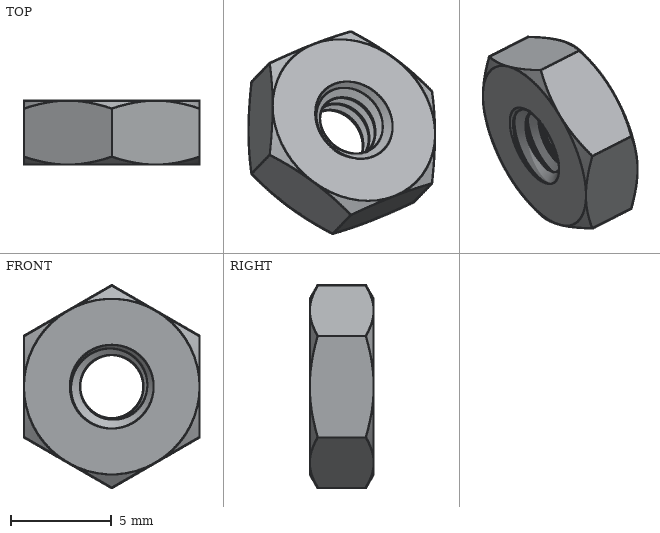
import cadquery as cq
import math

INCH = 25.4
across_flats = 11 / 32 * INCH
thickness = INCH / 8
corner_chamfer_angle = math.radians(30)

side_count = 6
corner_step = 2 * math.pi / side_count
corner_radius = across_flats / (2 * math.cos(corner_step / 2))

major_diameter = 0.164 * INCH
major_radius = major_diameter / 2
pitch = INCH / 32
flank_angle = math.radians(30)
sharp_thread_height = pitch / (2 * math.tan(flank_angle))
thread_depth = 3 / 4 * sharp_thread_height
minor_radius = major_radius - thread_depth
root_width = pitch / 8

lead_in_turns = 0.5
run_out_turns = 1
groove_overlap = 0.05
cutter_margin = 0.3


def turned_solid(profile):
    """Revolve (y, radius) points about the Y axis."""
    return cq.Workplane("YZ").polyline(profile).close().revolve(360, (0, 0, 0), (1, 0, 0))


def hex_prism():
    """Hexagonal prism with two corners on the Z axis."""
    corners = [
        (corner_radius * math.sin(i * corner_step), corner_radius * math.cos(i * corner_step))
        for i in range(side_count)
    ]
    return cq.Workplane("XZ").polyline(corners).close().extrude(-thickness)


def chamfer_envelope():
    """Turned blank whose conical ends chamfer the hexagon corners."""
    face_radius = across_flats / 2
    outer_radius = corner_radius + cutter_margin
    cone_depth = (outer_radius - face_radius) * math.tan(corner_chamfer_angle)
    return turned_solid([
        (0, 0),
        (0, face_radius),
        (cone_depth, outer_radius),
        (thickness - cone_depth, outer_radius),
        (thickness, face_radius),
        (thickness, 0),
    ])


def bore():
    """Through bore at the minor diameter."""
    length = thickness + 2 * cutter_margin
    return cq.Workplane("XZ", origin=(0, -cutter_margin, 0)).circle(minor_radius).extrude(-length)


def thread_groove():
    """Right-hand helical groove whose rear root edge meets the front face at the lowest point."""
    lead_in = lead_in_turns * pitch
    helix_length = lead_in + thickness + run_out_turns * pitch
    inner_radius = minor_radius - groove_overlap
    root_half = root_width / 2
    mouth_half = root_half + (major_radius - inner_radius) * math.tan(flank_angle)
    profile = [
        (inner_radius, -mouth_half),
        (major_radius, -root_half),
        (major_radius, root_half),
        (inner_radius, mouth_half),
    ]
    helix = cq.Workplane(cq.Wire.makeHelix(pitch, helix_length, major_radius))
    groove = cq.Workplane("XZ").polyline(profile).close().sweep(helix, isFrenet=True)
    groove = groove.rotate((0, 0, 0), (1, 0, 0), -90)
    groove = groove.rotate((0, 0, 0), (0, 1, 0), -90)
    return groove.translate((0, -lead_in - root_half, 0))


def countersink(face_y, inward):
    """45 degree cone as wide as the major diameter at face_y; inward is +1 or -1 along Y."""
    base_y = face_y - inward * cutter_margin
    apex_y = face_y + inward * major_radius
    return turned_solid([(base_y, 0), (base_y, major_radius + cutter_margin), (apex_y, 0)])


blank = hex_prism().intersect(chamfer_envelope())
threaded = blank.cut(bore()).cut(thread_groove())
result = threaded.cut(countersink(0, 1)).cut(countersink(thickness, -1))